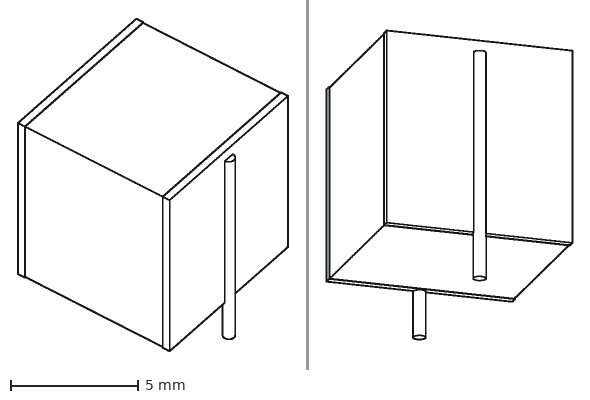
import cadquery as cq

total_height = 9.9
pin_diameter = 0.5
body_width = 7.49
plate_depth = 7.7
body_height = 8.0

plate_thickness = 0.35
core_inset = 0.02

pin_top_drop = 0.5

body_bottom = total_height - body_height
pin_length = total_height - pin_top_drop


def make_core():
    """Block between the plates, reaching their inner faces."""
    return cq.Workplane("XY").box(
        body_width - 2 * plate_thickness,
        plate_depth - 2 * core_inset,
        body_height - 2 * core_inset,
    ).translate((0, 0, body_bottom + body_height / 2))


def make_plate(side):
    """End plate on the -X (side = -1) or +X (side = 1) end."""
    centre_x = side * (body_width - plate_thickness) / 2
    return cq.Workplane("XY").box(
        plate_thickness, plate_depth, body_height
    ).translate((centre_x, 0, body_bottom + body_height / 2))


def make_pin(side):
    """Round lead half sunk into the outer face of a plate."""
    return (
        cq.Workplane("XY")
        .center(side * body_width / 2, 0)
        .circle(pin_diameter / 2)
        .extrude(pin_length)
    )


result = make_core()
for side in (-1, 1):
    result = result.union(make_plate(side)).union(make_pin(side))